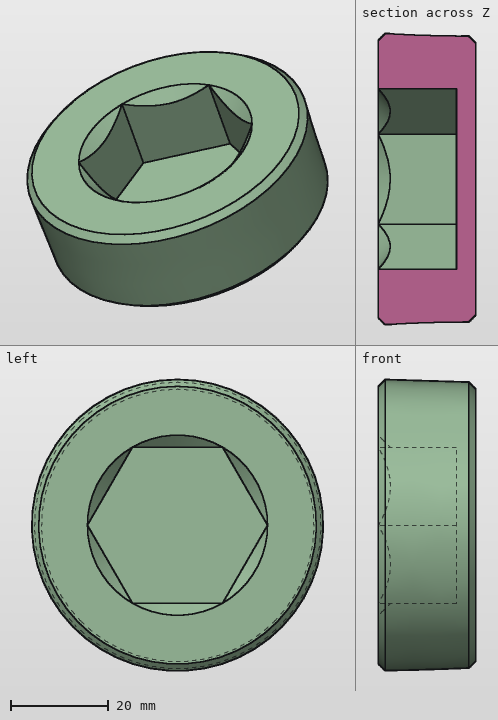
import cadquery as cq
import math

length = 20.0
large_diameter = 59.8
taper = 1 / 16
edge_chamfer = 1.45

across_flats = 32.0
socket_depth = 16.0
mouth_angle = 45.0

large_radius = large_diameter / 2
taper_length = length - 2 * edge_chamfer
small_radius = large_radius - taper_length * taper / 2
corner_radius = across_flats / math.sqrt(3)
x_large_end = -length / 2
x_small_end = length / 2


def plug_body():
    """Tapered disc, chamfered at both ends, revolved about X."""
    return (
        cq.Workplane("XZ")
        .moveTo(x_large_end, 0)
        .lineTo(x_large_end, large_radius - edge_chamfer)
        .lineTo(x_large_end + edge_chamfer, large_radius)
        .lineTo(x_small_end - edge_chamfer, small_radius)
        .lineTo(x_small_end, small_radius - edge_chamfer)
        .lineTo(x_small_end, 0)
        .close()
        .revolve(360, (0, 0, 0), (1, 0, 0))
    )


def hex_socket():
    """Blind hexagon with two of its corners on the Y axis."""
    return (
        cq.Workplane("YZ", origin=(x_large_end, 0, 0))
        .polygon(6, 2 * corner_radius)
        .extrude(socket_depth)
    )


def socket_mouth():
    """Countersink from the hexagon corners down to the middle of the flats."""
    flat_radius = across_flats / 2
    mouth_depth = (corner_radius - flat_radius) / math.tan(math.radians(mouth_angle))
    return (
        cq.Workplane("XZ")
        .moveTo(x_large_end, 0)
        .lineTo(x_large_end, corner_radius)
        .lineTo(x_large_end + mouth_depth, flat_radius)
        .lineTo(x_large_end + mouth_depth, 0)
        .close()
        .revolve(360, (0, 0, 0), (1, 0, 0))
    )


result = plug_body().cut(hex_socket()).cut(socket_mouth())